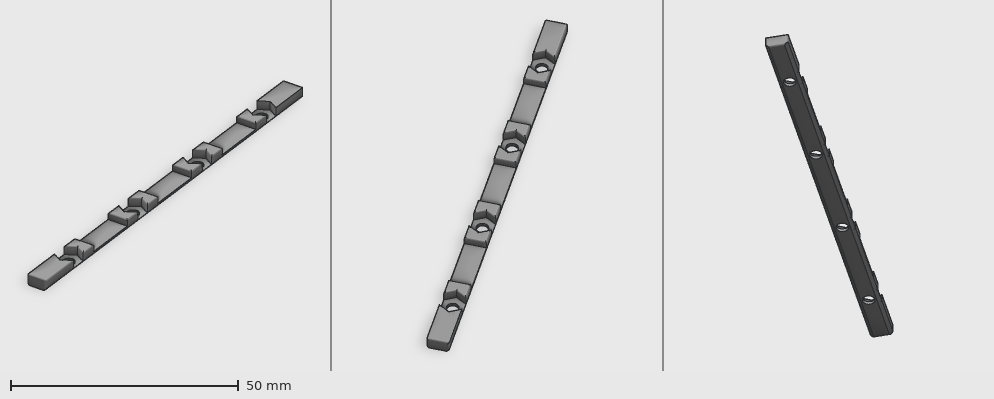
import cadquery as cq
import math

length = 100.0
width = 5.1
height = 3.0
bottom_chamfer = 0.8
edge_radius = 0.4

station_count = 4
pitch = length / station_count
hole_diameter = 2.8
nut_circumradius = 3.3
nut_floor = 0.8

recess_length = 13.0
recess_floor = 1.3

station_places = [(i - (station_count - 1) / 2) * pitch for i in range(station_count)]
recess_places = [place + pitch / 2 for place in station_places[:-1]]


def block(y_start, y_end, z_start, z_end):
    """Full-width block between two places along the bar."""
    size = (width, y_end - y_start, z_end - z_start)
    solid = cq.Workplane("XY").box(*size, centered=(True, False, False))
    return solid.translate((0, y_start, z_start))


def base_bar():
    """Full-length bar: long bottom edges chamfered, ends rounded except at the -Y top edge."""
    bar = block(-length / 2, length / 2, 0, height)
    bar = bar.edges("|Z").fillet(edge_radius)
    rounded_ends = block(-length / 2, length / 2, 0, height)
    rounded_ends = rounded_ends.edges(">Y and >Z").fillet(edge_radius)
    rounded_ends = rounded_ends.edges("|X and <Z").fillet(edge_radius)
    chamfered_sides = block(-length / 2, length / 2, 0, height)
    chamfered_sides = chamfered_sides.edges("|Y and <Z").chamfer(bottom_chamfer)
    return bar.intersect(rounded_ends).intersect(chamfered_sides)


def recess(place):
    """Clearance between two stations."""
    return block(place - recess_length / 2, place + recess_length / 2, recess_floor, height)


def nut_pocket(place):
    """Hexagonal pocket with its points along the bar, and a screw hole through its floor."""
    corners = [
        (
            nut_circumradius * math.sin(math.radians(60 * i)),
            place + nut_circumradius * math.cos(math.radians(60 * i)),
        )
        for i in range(6)
    ]
    pocket = cq.Workplane("XY").workplane(offset=nut_floor).polyline(corners).close().extrude(height)
    hole = cq.Workplane("XY").center(0, place).circle(hole_diameter / 2).extrude(height)
    return pocket.union(hole)


bar = base_bar()
for place in recess_places:
    bar = bar.cut(recess(place))
for place in station_places:
    bar = bar.cut(nut_pocket(place))

selection_margin = 0.01
rounded_pads = cq.selectors.BoxSelector(
    (-width, -length, height - selection_margin), (width, station_places[-1], height + selection_margin)
)
result = bar.edges(rounded_pads).fillet(edge_radius)